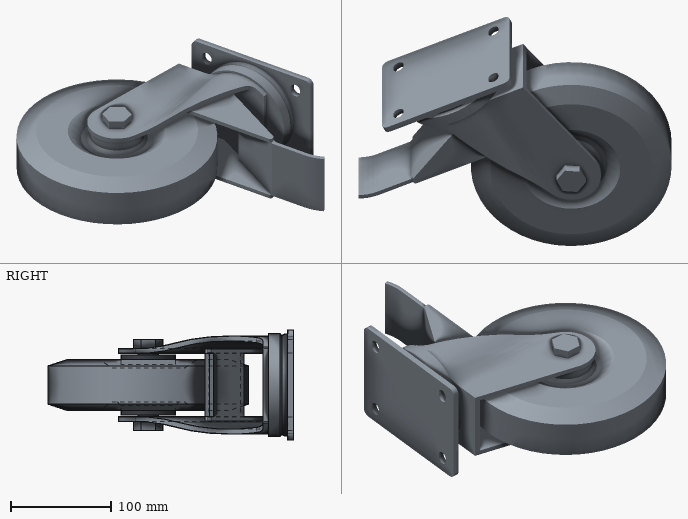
import cadquery as cq
import math


overall_length = 305.3
overall_height = 245.0

wheel_radius = 200.0 / 2
wheel_half_width = 25.3
rim_half_width = 19.0
side_face_radius = 80.5
dish_radius = 49.0
dish_floor_radius = 36.0
dish_floor_z = 16.8
hub_radius = 54.0 / 2
hub_base_radius = 30.5
hub_half_length = 30.0

axle_diameter = 20.0
bolt_across_flats = 25.3
bolt_head_height = 9.2

plate_length = 140.0
plate_width = 110.0
plate_thickness = 6.0
plate_corner_radius = 6.7
plate_top_y = overall_height - wheel_radius
plate_bottom_y = plate_top_y - plate_thickness
slot_width = 11.0
slot_centre_travel = 2.5
slot_spacing_x = 104.5
slot_spacing_z = 77.5

swivel_x = 70.0
race_radius = 103.0 / 2
race_bottom_y = 119.7
race_shoulder_y = 131.0
groove_y = 133.0
collar_top_y = 138.0
collar_radius = 51.0
groove_radius = 49.2

sheet_thickness = 5.0
bridge_thickness = 5.5
leg_inner_z = 31.5
leg_outer_z = leg_inner_z + sheet_thickness
leg_end_radius = 29.5
leg_flat_end_x = 26.5
bulge_outer_radius = 49.0
bulge_inner_radius = bulge_outer_radius - sheet_thickness
bridge_left_x = -3.0
bridge_right_x = 100.8
bridge_bottom_y = race_bottom_y - bridge_thickness
leg_right_corner_x = 85.2
leg_right_corner_radius = 11.3

pedal_thickness = 4.3
pedal_bottom_y = 56.5
pedal_bend_x = 147.2
pedal_slope = math.radians(29.5)
ramp_end_x = 85.0
pedal_flat_end_x = 184.7
pedal_tip_x = overall_length - wheel_radius
pedal_tip_radius = 49.0
cheek_thickness = 4.3
cheek_left_x = 30.5
cheek_tip_setback = 2.5
cheek_tip_radius = 2.5


def make_wheel():
    """Revolve the wheel section, symmetric about its middle plane, around Z."""
    hub_chamfer_top_z = dish_floor_z + hub_base_radius - hub_radius
    upper_section = [
        (wheel_radius, rim_half_width),
        (side_face_radius, wheel_half_width),
        (dish_radius, wheel_half_width),
        (dish_floor_radius, dish_floor_z),
        (hub_base_radius, dish_floor_z),
        (hub_radius, hub_chamfer_top_z),
        (hub_radius, hub_half_length),
        (0, hub_half_length),
    ]
    lower_section = [(radius, -z) for radius, z in reversed(upper_section)]
    section = cq.Workplane("XZ").polyline(upper_section + lower_section).close()
    return section.revolve(360, (0, 0), (0, 1))


def make_axle():
    """Round axle with a hexagonal head outside each fork leg."""
    axle = cq.Workplane("XY").circle(axle_diameter / 2).extrude(leg_outer_z, both=True)
    across_corners = bolt_across_flats / math.cos(math.pi / 6)
    head = (
        cq.Workplane("XY", origin=(0, 0, leg_outer_z))
        .transformed(rotate=(0, 0, 90))
        .polygon(6, across_corners)
        .extrude(bolt_head_height)
    )
    return axle.union(head).union(head.mirror("XY"))


def make_mounting_plate():
    """Rounded plate with four slots lengthwise along Z."""
    plate = (
        cq.Workplane("XZ", origin=(swivel_x, plate_bottom_y, 0))
        .rect(plate_length, plate_width)
        .extrude(-plate_thickness)
        .edges("|Y")
        .fillet(plate_corner_radius)
    )
    slots = (
        cq.Workplane("XZ", origin=(swivel_x, plate_bottom_y, 0))
        .rect(slot_spacing_x, slot_spacing_z, forConstruction=True)
        .vertices()
        .slot2D(slot_width + slot_centre_travel, slot_width, 90)
        .extrude(-plate_thickness)
    )
    return plate.cut(slots)


def make_swivel_race():
    """Round race, with a groove between its shoulder and the rounded collar under the plate."""
    collar_inset = collar_radius - groove_radius
    collar_drop = collar_top_y - groove_y
    round_radius = (collar_inset**2 + collar_drop**2) / (2 * collar_inset)
    half_angle = math.asin(collar_drop / round_radius) / 2
    collar_middle = (
        collar_radius - round_radius * (1 - math.cos(half_angle)),
        collar_top_y - round_radius * math.sin(half_angle),
    )
    return (
        cq.Workplane("XY")
        .moveTo(0, race_bottom_y)
        .lineTo(race_radius, race_bottom_y)
        .lineTo(race_radius, race_shoulder_y)
        .lineTo(groove_radius, groove_y)
        .threePointArc(collar_middle, (collar_radius, collar_top_y))
        .lineTo(collar_radius, plate_bottom_y)
        .lineTo(0, plate_bottom_y)
        .close()
        .revolve(360, (0, 0), (0, 1))
        .translate((swivel_x, 0, 0))
    )


def bulged_strip(flat_z, bulge_radius, bottom_y, top_y):
    """Prism whose flat sides at +-flat_z swell smoothly into a cylinder about the swivel axis."""
    flat_to_swivel = swivel_x - leg_flat_end_x
    blend_radius = (flat_to_swivel**2 + flat_z**2 - bulge_radius**2) / (2 * (bulge_radius - flat_z))
    blend_centre_z = flat_z + blend_radius
    blend_angle = math.atan2(flat_to_swivel, blend_centre_z)
    blend_middle = (
        leg_flat_end_x + blend_radius * math.sin(blend_angle / 2),
        blend_centre_z - blend_radius * math.cos(blend_angle / 2),
    )
    blend_end = (
        swivel_x - bulge_radius * math.sin(blend_angle),
        bulge_radius * math.cos(blend_angle),
    )
    bulge_end_z = math.sqrt(bulge_radius**2 - (bridge_right_x - swivel_x) ** 2)
    left_x = -leg_end_radius
    half_strip = (
        cq.Workplane("XZ", origin=(0, bottom_y, 0))
        .moveTo(left_x, 0)
        .lineTo(left_x, flat_z)
        .lineTo(leg_flat_end_x, flat_z)
        .threePointArc(blend_middle, blend_end)
        .threePointArc((swivel_x, bulge_radius), (bridge_right_x, bulge_end_z))
        .lineTo(bridge_right_x, 0)
        .close()
        .extrude(bottom_y - top_y)
    )
    return half_strip.union(half_strip.mirror("XY"))


def leg_end_tangent(corner_x, corner_y, side):
    """Point where a line from a corner touches the round leg end; side is -1 left, +1 right."""
    corner_angle = math.atan2(corner_y, corner_x)
    spread = math.acos(leg_end_radius / math.hypot(corner_x, corner_y))
    angle = corner_angle - side * spread
    return (leg_end_radius * math.cos(angle), leg_end_radius * math.sin(angle))


def make_fork():
    """Two tapering legs joined by a bridge, trimmed to the leg outline."""
    outline = (
        cq.Workplane("XY")
        .moveTo(bridge_left_x, race_bottom_y)
        .lineTo(bridge_right_x, race_bottom_y)
        .lineTo(bridge_right_x, bridge_bottom_y)
        .lineTo(leg_right_corner_x, bridge_bottom_y)
        .lineTo(*leg_end_tangent(leg_right_corner_x, bridge_bottom_y, 1))
        .threePointArc((0, -leg_end_radius), leg_end_tangent(bridge_left_x, race_bottom_y, -1))
        .close()
        .extrude(bulge_outer_radius, both=True)
        .edges(cq.NearestToPointSelector((leg_right_corner_x, bridge_bottom_y, 0)))
        .fillet(leg_right_corner_radius)
    )
    outside = bulged_strip(leg_outer_z, bulge_outer_radius, -leg_end_radius, race_bottom_y)
    inside = bulged_strip(leg_inner_z, bulge_inner_radius, -leg_end_radius, bridge_bottom_y)
    return outside.cut(inside).intersect(outline)


def make_brake_pedal():
    """Bent pedal between two triangular cheeks that join the fork legs."""
    slope_x = math.cos(pedal_slope)
    slope_y = math.sin(pedal_slope)
    pedal_top_y = pedal_bottom_y + pedal_thickness

    ramp_end_y = pedal_bottom_y + (pedal_bend_x - ramp_end_x) * math.tan(pedal_slope)
    ramp_top_x = ramp_end_x + pedal_thickness * slope_y
    ramp_top_y = ramp_end_y + pedal_thickness * slope_x
    bend_top_x = pedal_bend_x + pedal_thickness * math.tan(pedal_slope / 2)

    tip_centre_y = pedal_bottom_y + pedal_tip_radius
    tip_angle = math.asin((pedal_tip_x - pedal_flat_end_x) / pedal_tip_radius)

    def tip_point(radius, angle):
        return (
            pedal_flat_end_x + radius * math.sin(angle),
            tip_centre_y - radius * math.cos(angle),
        )

    tip_top_radius = pedal_tip_radius - pedal_thickness
    tread = (
        cq.Workplane("XY")
        .moveTo(ramp_end_x, ramp_end_y)
        .lineTo(pedal_bend_x, pedal_bottom_y)
        .lineTo(pedal_flat_end_x, pedal_bottom_y)
        .threePointArc(tip_point(pedal_tip_radius, tip_angle / 2), tip_point(pedal_tip_radius, tip_angle))
        .lineTo(*tip_point(tip_top_radius, tip_angle))
        .threePointArc(tip_point(tip_top_radius, tip_angle / 2), (pedal_flat_end_x, pedal_top_y))
        .lineTo(bend_top_x, pedal_top_y)
        .lineTo(ramp_top_x, ramp_top_y)
        .close()
        .extrude(leg_inner_z, both=True)
    )

    cheek_tip_x = bend_top_x - cheek_tip_setback
    cheek_tip_y = ramp_top_y - (cheek_tip_x - ramp_top_x) * math.tan(pedal_slope)
    cheek_top_x = ramp_top_x - (race_bottom_y - ramp_top_y) / math.tan(pedal_slope)
    cheek = (
        cq.Workplane("XY", origin=(0, 0, leg_inner_z))
        .moveTo(cheek_left_x, pedal_bottom_y)
        .lineTo(cheek_tip_x, pedal_bottom_y)
        .lineTo(cheek_tip_x, cheek_tip_y)
        .lineTo(cheek_top_x, race_bottom_y)
        .lineTo(cheek_left_x, race_bottom_y)
        .close()
        .extrude(cheek_thickness)
        .edges("|Z and >X")
        .fillet(cheek_tip_radius)
    )
    return tread.union(cheek).union(cheek.mirror("XY"))


result = (
    make_wheel()
    .union(make_axle())
    .union(make_fork())
    .union(make_swivel_race())
    .union(make_mounting_plate())
    .union(make_brake_pedal())
)